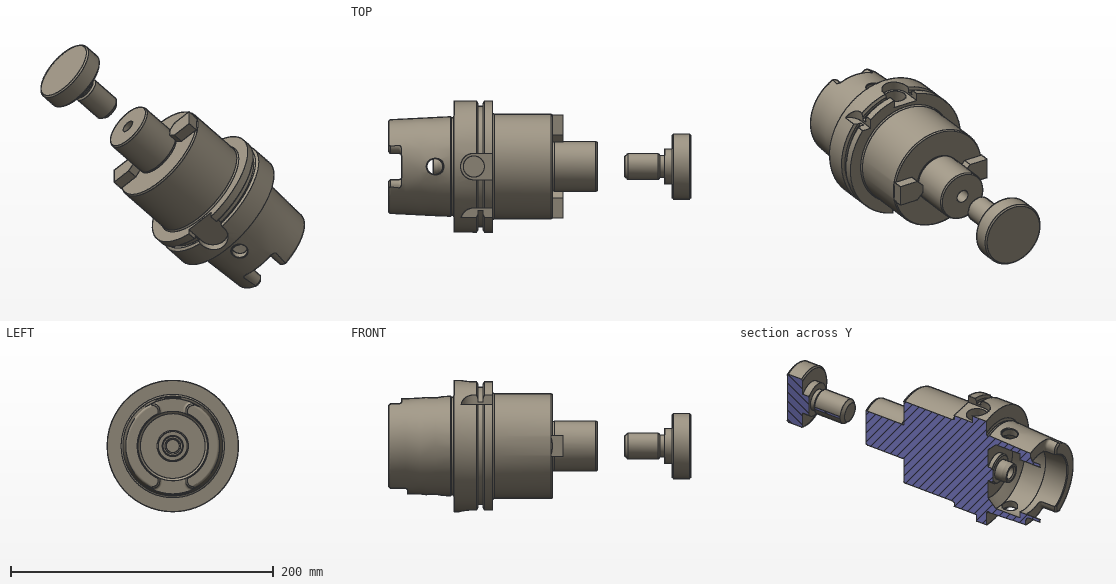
import cadquery as cq
import math


taper_length = 47.2
taper_tip_radius = 35.6
taper_slope = 0.05
tip_round = 1.8
relief_radius = 37.3
relief_slope_length = 0.7
flange_root_radius = 39.3

flange_start = 50.0
flange_end = 79.1
flange_radius = 100.0 / 2
groove_center = 70.0
groove_floor_radius = 46.0
groove_flank_radius = 47.8
groove_floor_width = 3.7
groove_mouth_width = 6.2

body_end = 125.0
body_radius = 79.8 / 2
body_root_radius = 40.7
edge_break = 1.4
edge_drop = 0.7

spigot_end = 159.0
spigot_radius = 19.0
spigot_undercut_radius = 18.9
spigot_undercut_width = 1.2

bore_mouth_radius = 26.5
bore_mouth_chamfer = 0.7
bore_straight_depth = 19.8
chamber_radius = 31.5
bore_floor_radius = 24.5
bore_floor = 48.3

collar_front = 43.7
collar_radius = 12.0
collar_chamfer = 1.0
tube_front = 33.8
tube_radius = 8.0
tube_tip_radius = 7.4
tube_tip_length = 3.5
coolant_radius = 10.0 / 2
coolant_mouth_radius = 6.0

drive_slot_width = 19.8
drive_slot_depth_top = 10.0
drive_slot_depth_bottom = 14.5
drive_slot_corner = 2.0
drive_slot_lip_round = 5.3
drive_slot_lip_height = 32.2
drive_slot_lip_width = 36.8
drive_slot_mouth_chamfer = 1.4

clamp_hole_radius = 6.0
clamp_hole_chamfer = 1.0
clamp_hole_position = 35.2

notch_width = 20.2
bottom_notch_width = 23.0
notch_position = 64.9
notch_floor = 43.0
chip_hole_radius = 8.0
chip_hole_depth = 11.5
corner_notch_offset = 31.5

key_width = 16.0
key_end = 132.7
key_outer = 39.3
key_inner = 18.5
key_chamfer = 5.5
key_root = 1.4

screw_tip = 179.6
screw_thread_start = 182.2
screw_thread_end = 205.2
screw_neck_start = 206.5
screw_collar_start = 210.0
screw_head_start = 215.7
screw_head_end = 230.0
screw_tip_radius = 15.5 / 2
screw_thread_radius = 20.0 / 2
screw_neck_radius = 17.0 / 2
screw_collar_radius = 27.0 / 2
screw_head_radius = 50.0 / 2
screw_head_chamfer = 1.2


def revolve_about_x(points):
    """Solid of revolution about X from a closed (x, radius) outline."""
    return cq.Workplane("XY").polyline(points).close().revolve(360, (0, 0, 0), (1, 0, 0))


def box_between(x_range, y_range, z_range):
    """Axis-aligned box from three (low, high) pairs."""
    lows, highs = zip(x_range, y_range, z_range)
    size = [high - low for low, high in zip(lows, highs)]
    return cq.Workplane("XY").box(*size, centered=False).translate(lows)


def vertical_cylinder(x, y, radius, z_low, z_high):
    return cq.Workplane("XY").center(x, y).circle(radius).extrude(z_high - z_low).translate((0, 0, z_low))


def holder_blank():
    """Turned outside of the holder: taper, flange, body and spigot."""
    taper_end_radius = taper_tip_radius + taper_slope * taper_length
    undercut_end = body_end + spigot_undercut_width
    outline = [
        (0, 0),
        (0, taper_tip_radius),
        (taper_length, taper_end_radius),
        (taper_length + relief_slope_length, relief_radius),
        (flange_start - relief_slope_length, relief_radius),
        (flange_start, flange_root_radius),
        (flange_start, flange_radius),
        (groove_center - groove_mouth_width / 2, flange_radius),
        (groove_center - groove_floor_width / 2, groove_flank_radius),
        (groove_center - groove_floor_width / 2, groove_floor_radius),
        (groove_center + groove_floor_width / 2, groove_floor_radius),
        (groove_center + groove_floor_width / 2, groove_flank_radius),
        (groove_center + groove_mouth_width / 2, flange_radius),
        (flange_end, flange_radius),
        (flange_end, body_root_radius),
        (flange_end + edge_break, body_radius),
        (body_end - edge_break, body_radius),
        (body_end, body_radius - edge_drop),
        (body_end, spigot_undercut_radius),
        (undercut_end, spigot_undercut_radius),
        (undercut_end + spigot_radius - spigot_undercut_radius, spigot_radius),
        (spigot_end - edge_break, spigot_radius),
        (spigot_end, spigot_radius - edge_drop),
        (spigot_end, 0),
    ]
    blank = revolve_about_x(outline)
    return blank.faces("<X").edges().fillet(tip_round)


def bore_cutter():
    """Bore and chamber with a 45 degree floor corner, leaving the coolant tube and its collar standing."""
    chamber_end = bore_floor - (chamber_radius - bore_floor_radius)
    return revolve_about_x([
        (0, 0),
        (0, bore_mouth_radius + bore_mouth_chamfer),
        (bore_mouth_chamfer, bore_mouth_radius),
        (bore_straight_depth, bore_mouth_radius),
        (bore_straight_depth, chamber_radius),
        (chamber_end, chamber_radius),
        (bore_floor, bore_floor_radius),
        (bore_floor, collar_radius),
        (collar_front + collar_chamfer, collar_radius),
        (collar_front, collar_radius - collar_chamfer),
        (collar_front, tube_radius),
        (tube_front + tube_tip_length, tube_radius),
        (tube_front, tube_tip_radius),
        (tube_front, 0),
    ])


def coolant_hole_cutter():
    """Coolant hole from the countersunk tube mouth through to the spigot end."""
    return revolve_about_x([
        (tube_front, 0),
        (tube_front, coolant_mouth_radius),
        (tube_front + coolant_mouth_radius - coolant_radius, coolant_radius),
        (spigot_end, coolant_radius),
        (spigot_end, 0),
    ])


def drive_slot_cutter(depth):
    """Drive slot across the top of the taper wall, flaring outward in two round lips."""
    half_width = drive_slot_width / 2
    half_lip = drive_slot_lip_width / 2
    round_center_y = half_width + drive_slot_lip_round
    round_center_z = drive_slot_lip_height - drive_slot_lip_round
    round_middle = drive_slot_lip_round * math.cos(math.radians(45))
    middle_y = round_center_y - round_middle
    middle_z = round_center_z + round_middle
    outline = (
        cq.Workplane("YZ")
        .moveTo(-half_width, 0)
        .lineTo(half_width, 0)
        .lineTo(half_width, round_center_z)
        .threePointArc((middle_y, middle_z), (round_center_y, drive_slot_lip_height))
        .lineTo(half_lip, drive_slot_lip_height)
        .lineTo(half_lip, flange_radius)
        .lineTo(-half_lip, flange_radius)
        .lineTo(-half_lip, drive_slot_lip_height)
        .lineTo(-round_center_y, drive_slot_lip_height)
        .threePointArc((-middle_y, middle_z), (-half_width, round_center_z))
        .close()
    )
    slot = outline.extrude(depth).faces(">X").edges().fillet(drive_slot_corner)
    wide_outline = cq.Workplane("YZ").add(outline.val()).toPending()
    wide_outline = wide_outline.offset2D(drive_slot_mouth_chamfer, "intersection")
    mouth = wide_outline.extrude(drive_slot_mouth_chamfer, taper=45)
    return slot.union(mouth)


def clamp_hole_cutter():
    """Radial hole through the top wall of the taper, chamfered at the outside."""
    wall_radius = taper_tip_radius + taper_slope * clamp_hole_position
    hole = vertical_cylinder(clamp_hole_position, 0, clamp_hole_radius, bore_mouth_radius, flange_radius)
    mouth = (
        cq.Workplane("XY", origin=(clamp_hole_position, 0, wall_radius - clamp_hole_chamfer))
        .circle(clamp_hole_radius)
        .workplane(offset=clamp_hole_chamfer)
        .circle(clamp_hole_radius + clamp_hole_chamfer)
        .loft()
    )
    return hole.union(mouth)


def round_ended_notch(y_center, width, floor):
    """Milled notch with a rounded end, open toward the body and upward from its floor."""
    half_width = width / 2
    y_range = (y_center - half_width, y_center + half_width)
    run_out = box_between((notch_position, flange_end), y_range, (floor, flange_radius))
    return run_out.union(vertical_cylinder(notch_position, y_center, half_width, floor, flange_radius))


def driving_key(side):
    """Key on the body end face; side is +1 for +Y and -1 for -Y."""
    half_width = key_width / 2
    key = box_between((body_end - key_root, key_end), (key_inner, key_outer), (-half_width, half_width))
    key = key.edges("|X and <Y").chamfer(key_chamfer)
    return key if side > 0 else key.mirror("XZ")


def make_holder():
    holder = holder_blank().cut(bore_cutter())

    holder = holder.cut(drive_slot_cutter(drive_slot_depth_top))
    holder = holder.cut(drive_slot_cutter(drive_slot_depth_bottom).mirror("XY"))

    holder = holder.cut(coolant_hole_cutter())
    clamp_hole = clamp_hole_cutter()
    holder = holder.cut(clamp_hole).cut(clamp_hole.mirror("XY"))

    holder = holder.cut(round_ended_notch(0, notch_width, notch_floor))
    holder = holder.cut(round_ended_notch(0, bottom_notch_width, notch_floor).mirror("XY"))
    corner_center = -corner_notch_offset - notch_width / 2
    corner_notch = round_ended_notch(corner_center, notch_width, corner_notch_offset)
    holder = holder.cut(corner_notch)
    chip_hole_floor = notch_floor - chip_hole_depth
    holder = holder.cut(vertical_cylinder(notch_position, 0, chip_hole_radius, chip_hole_floor, notch_floor))

    for side in (1, -1):
        holder = holder.union(driving_key(side))
    return holder


def make_screw():
    head_face_radius = screw_head_radius - screw_head_chamfer
    return revolve_about_x([
        (screw_tip, 0),
        (screw_tip, screw_tip_radius),
        (screw_thread_start, screw_thread_radius),
        (screw_thread_end, screw_thread_radius),
        (screw_neck_start, screw_neck_radius),
        (screw_collar_start, screw_neck_radius),
        (screw_collar_start, screw_collar_radius),
        (screw_head_start, screw_collar_radius),
        (screw_head_start, head_face_radius),
        (screw_head_start + screw_head_chamfer, screw_head_radius),
        (screw_head_end - screw_head_chamfer, screw_head_radius),
        (screw_head_end, head_face_radius),
        (screw_head_end, 0),
    ])


holder = make_holder()
screw = make_screw()
result = cq.Compound.makeCompound([holder.val(), screw.val()])